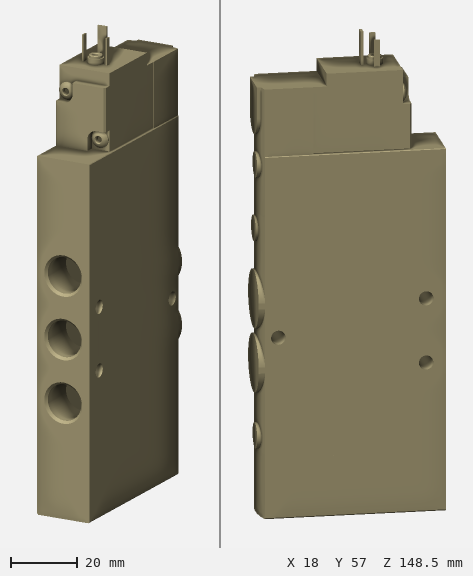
import cadquery as cq
import math


width = 18.0
depth = 57.0
cap_height = 19.0
block_height = 75.0
block_bottom = cap_height
block_top = block_bottom + block_height
block_middle = block_bottom + block_height / 2
stack_height = block_top + cap_height

side_depth = 55.0
back_crown = 56.4
back_rise = back_crown - side_depth
back_radius = ((width / 2) ** 2 + back_rise ** 2) / (2 * back_rise)

bottom_chamfer = 0.4
top_chamfer = 0.2

port_pitch = 20.0
port_dia = 11.45
port_mouth_dia = 13.0
port_chamfer = (port_mouth_dia - port_dia) / 2
port_depth = 12.0
mount_dia = 4.4
front_mount_y = 6.0
rear_mount_y = 51.0
mount_levels = (block_middle - port_pitch / 2, block_middle + port_pitch / 2)

large_pad_dia = 18.1
small_pad_dia = 8.0
small_pad_offset = 32.0
side_pad_x = -2.5
pad_root = 54.0
tab_width = 12.0
tab_centre_z = stack_height + 11.0

pilot_width = 17.3
solenoid_width = 17.2
pilot_front = 40.25
solenoid_front = 13.0
tower_back = 36.2
shoulder_z = stack_height + 21.0
tower_top = stack_height + 25.0
solenoid_gap = 0.4
solenoid_bottom = stack_height + solenoid_gap

plate_front = 10.3
plate_chamfer = 0.55

screw_x = 5.6
upper_screw_z = stack_height + 17.4
lower_screw_z = stack_height + 4.0
recess_radius = 3.05
head_dia = 5.6
socket_mouth_dia = 2.5
socket_dia = 2.0
head_rim = 0.5
head_height = 1.5
dome_bulge_ratio = 0.1

terminal_y = 20.1
collar_dia = 5.0
collar_height = 1.8
neck_dia = 4.13
neck_height = 2.7
neck_top_dia = 3.8
terminal_mouth_dia = 2.5
terminal_bore_dia = 2.01
side_blade_x = 4.0
side_blade_size = (0.5, 1.8, 8.5)
earth_blade_y = 24.15
earth_blade_size = (3.1, 0.8, 10.5)


def box_between(x0, x1, y0, y1, z0, z1):
    return cq.Workplane("XY").box(x1 - x0, y1 - y0, z1 - z0, centered=False).translate((x0, y0, z0))


def back_y(x):
    """Y of the rounded back at a given X."""
    return back_crown - back_radius + math.sqrt(back_radius ** 2 - x ** 2)


def round_backed_slab(slab_width, front, z0, z1):
    half = slab_width / 2
    corner = back_y(half)
    return (
        cq.Workplane("XY", origin=(0, 0, z0))
        .moveTo(-half, front)
        .lineTo(half, front)
        .lineTo(half, corner)
        .threePointArc((0, back_crown), (-half, corner))
        .close()
        .extrude(z1 - z0)
    )


def cylinder_along_y(x, z, diameter, y0, y1):
    return (
        cq.Workplane("XZ", origin=(x, y0, z))
        .circle(diameter / 2)
        .extrude(-(y1 - y0))
    )


def back_pad(x, z, diameter):
    """Round pad on the back, trimmed flush with the sides."""
    pad = cylinder_along_y(x, z, diameter, pad_root, depth)
    return pad.intersect(box_between(-width / 2, width / 2, 0, depth, 0, stack_height))


def chamfer_side_edges(cap, edge_z, size, inward):
    """Bevel both side edges at edge_z; inward is +1 or -1, the Z direction into the cap."""
    for side in (-1, 1):
        edge_x = side * width / 2
        wedge = (
            cq.Workplane("XZ")
            .moveTo(edge_x, edge_z)
            .lineTo(edge_x - side * size, edge_z)
            .lineTo(edge_x, edge_z + inward * size)
            .close()
            .extrude(-depth)
        )
        cap = cap.cut(wedge)
    return cap


def make_bottom_cap():
    return chamfer_side_edges(round_backed_slab(width, 0, 0, block_bottom), 0, bottom_chamfer, 1)


def port_cutter(z):
    """Blind port from the front face with a chamfered mouth."""
    bore_radius = port_dia / 2
    mouth_radius = port_mouth_dia / 2
    return (
        cq.Workplane("XY")
        .polyline([
            (0, 0),
            (mouth_radius, 0),
            (bore_radius, port_chamfer),
            (bore_radius, port_depth),
            (0, port_depth),
        ])
        .close()
        .revolve(360, (0, 0, 0), (0, 1, 0))
        .translate((0, 0, z))
    )


def make_valve_block():
    block = round_backed_slab(width, 0, block_bottom, block_top)
    for z in mount_levels:
        block = block.union(back_pad(0, z, large_pad_dia))
    block = block.union(back_pad(0, block_middle + small_pad_offset, small_pad_dia))
    block = block.union(back_pad(side_pad_x, block_middle - small_pad_offset, small_pad_dia))

    for step in (-1, 0, 1):
        block = block.cut(port_cutter(block_middle + step * port_pitch))

    mount_points = [(front_mount_y, z) for z in mount_levels] + [(rear_mount_y, block_middle)]
    mounts = (
        cq.Workplane("YZ", origin=(-width / 2, 0, 0))
        .pushPoints(mount_points)
        .circle(mount_dia / 2)
        .extrude(width)
    )
    return block.cut(mounts)


def make_pilot():
    """Rear block standing on the cap, with a round-ended tab on its back."""
    pilot = round_backed_slab(pilot_width, pilot_front, stack_height, shoulder_z)
    half_tab = tab_width / 2
    tab_end = cylinder_along_y(0, tab_centre_z, tab_width, pad_root, depth)
    tab_body = box_between(-half_tab, half_tab, pad_root, depth, tab_centre_z, shoulder_z)
    return pilot.union(tab_end).union(tab_body)


def screw_recess(side, z):
    """Clearance round a screw, open sideways, and upward (left) or downward (right)."""
    x = side * screw_x
    outer_x = side * width / 2
    inner_x = x - side * recess_radius
    far_z = tower_top if side < 0 else stack_height
    round_part = cylinder_along_y(x, z, 2 * recess_radius, plate_front, solenoid_front)
    z_reach = z + recess_radius * side
    x_low, x_high = sorted((x, outer_x))
    sideways = box_between(
        x_low, x_high, plate_front, solenoid_front, min(z_reach, far_z), max(z_reach, far_z)
    )
    x_low, x_high = sorted((inner_x, outer_x))
    lengthways = box_between(x_low, x_high, plate_front, solenoid_front, min(z, far_z), max(z, far_z))
    return round_part.union(sideways).union(lengthways)


def screw_head(x, z):
    """Domed screw head with a round socket, standing on the recess floor."""
    head_radius = head_dia / 2
    mouth_radius = socket_mouth_dia / 2
    socket_radius = socket_dia / 2
    socket_chamfer = mouth_radius - socket_radius
    dome_height = head_height - head_rim
    dome_run = head_radius - mouth_radius
    slant = math.hypot(dome_run, dome_height)
    bulge = dome_bulge_ratio * slant
    arc_middle = (
        (head_radius + mouth_radius) / 2 + bulge * dome_height / slant,
        -(head_rim + dome_height / 2 + bulge * dome_run / slant),
    )
    return (
        cq.Workplane("XY")
        .moveTo(socket_radius, 0)
        .lineTo(head_radius, 0)
        .lineTo(head_radius, -head_rim)
        .threePointArc(arc_middle, (mouth_radius, -head_height))
        .lineTo(socket_radius, -(head_height - socket_chamfer))
        .close()
        .revolve(360, (0, 0, 0), (0, 1, 0))
        .translate((x, solenoid_front, z))
    )


def make_front_plate():
    plate = (
        box_between(
            -solenoid_width / 2, solenoid_width / 2, plate_front, solenoid_front, solenoid_bottom, shoulder_z
        )
        .edges("|Z and <Y")
        .chamfer(plate_chamfer)
    )
    for side, z in ((-1, upper_screw_z), (1, lower_screw_z)):
        plate = plate.cut(screw_recess(side, z))
    return plate


def make_terminals():
    base = cq.Workplane("XY", origin=(0, terminal_y, tower_top))
    collar = base.circle(collar_dia / 2).extrude(collar_height)
    neck = base.circle(neck_dia / 2).extrude(neck_height)
    bore = base.circle(terminal_bore_dia / 2).extrude(neck_height)
    neck = neck.faces(">Z").edges().chamfer((neck_dia - neck_top_dia) / 2)
    mouth_chamfer = (terminal_mouth_dia - terminal_bore_dia) / 2
    terminals = collar.union(neck).cut(bore)
    terminals = terminals.faces(">Z").edges(cq.selectors.RadiusNthSelector(0)).chamfer(mouth_chamfer)
    on_top = (True, True, False)
    for x in (-side_blade_x, side_blade_x):
        blade = cq.Workplane("XY").box(*side_blade_size, centered=on_top)
        terminals = terminals.union(blade.translate((x, terminal_y, tower_top)))
    earth_blade = cq.Workplane("XY").box(*earth_blade_size, centered=on_top)
    return terminals.union(earth_blade.translate((0, earth_blade_y, tower_top)))


def make_solenoid():
    half = solenoid_width / 2
    coil = box_between(-half, half, solenoid_front, pilot_front, solenoid_bottom, shoulder_z)
    tower = box_between(-half, half, solenoid_front, tower_back, solenoid_bottom, tower_top)
    solenoid = coil.union(tower).union(make_front_plate())
    for side, z in ((-1, upper_screw_z), (1, lower_screw_z)):
        solenoid = solenoid.union(screw_head(side * screw_x, z))
    return solenoid.union(make_terminals())


def make_solenoid_cap():
    cap = round_backed_slab(width, 0, block_top, stack_height)
    cap = chamfer_side_edges(cap, stack_height, top_chamfer, -1)
    override_pad = back_pad(side_pad_x, stack_height - small_pad_dia / 2, small_pad_dia)
    return cap.union(override_pad).union(make_pilot()).union(make_solenoid())


bottom_cap = make_bottom_cap()
valve_block = make_valve_block()
solenoid_cap = make_solenoid_cap()

bodies = (bottom_cap, valve_block, solenoid_cap)
result = cq.Compound.makeCompound([body.solids().val() for body in bodies])